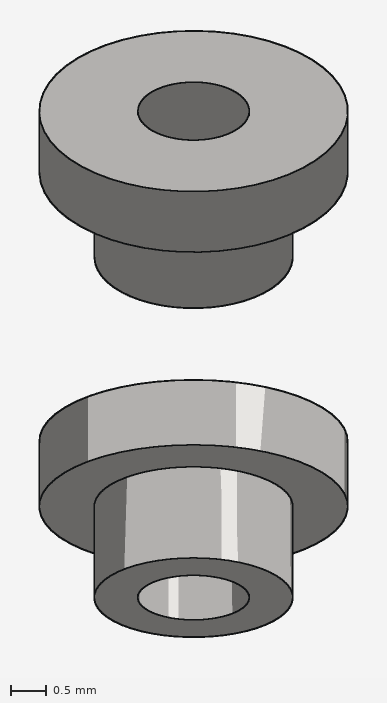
import cadquery as cq

flange_diameter = 4.35
flange_thickness = 1.0
sleeve_diameter = 2.8
bore_diameter = 1.57
total_height = 2.4

sleeve_length = total_height - flange_thickness


def make_sleeve():
    """Narrow cylinder standing on the XY plane."""
    return cq.Workplane("XY").circle(sleeve_diameter / 2).extrude(sleeve_length)


def add_flange(body):
    """Wide disc on top of the sleeve."""
    return body.faces(">Z").workplane().circle(flange_diameter / 2).extrude(flange_thickness)


def cut_bore(body):
    """Plain through hole along the axis."""
    return body.faces(">Z").workplane().circle(bore_diameter / 2).cutThruAll()


result = cut_bore(add_flange(make_sleeve()))